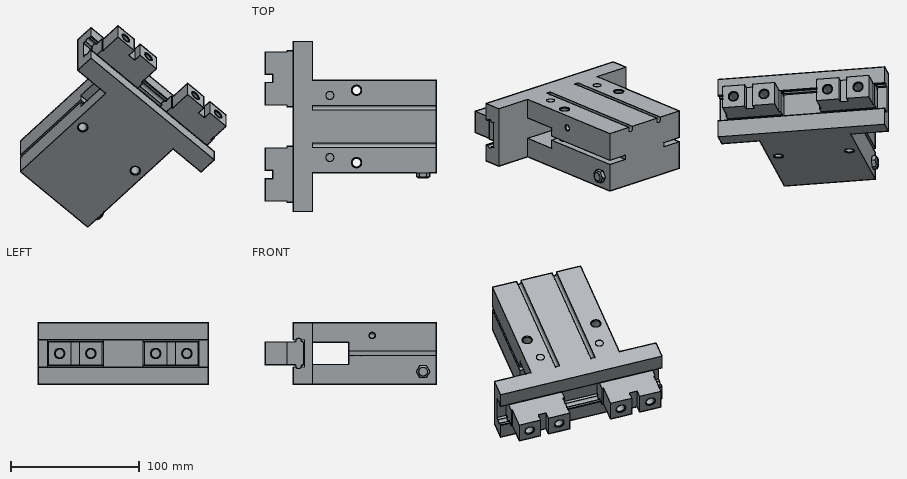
import cadquery as cq
import math


total_length = 133.0
height = 48.0

rail_front = 21.8
rail_thickness = 15.0
rail_back = rail_front + rail_thickness
rail_width = 132.0
channel_half_height = 10.4
channel_floor_x = 30.5
lip_chamfer = 0.4

bead_x = 26.1
bead_z = 9.7
bead_radius = 2.1

housing_width = 72.1
housing_length = total_length - rail_back
window_height = 17.0
window_length = 28.0
window_end = rail_back + window_length
side_slot_height = 3.5
side_slot_depth = 16.0
top_groove_width = 3.5
top_groove_depth = 4.0
top_groove_y = 14.5

mount_hole_x = 71.0
mount_hole_y = 28.0
thread_mouth_diameter = 8.0
thread_core_diameter = 6.8
dowel_x = 50.3
dowel_y = 24.1
dowel_diameter = 6.3
dowel_recess = 0.1

port_x = 83.1
port_z = 14.0
port_mouth_diameter = 5.0
port_core_diameter = 4.3
port_depth = 8.0
drill_tip_angle = 118.0
plug_x = 122.6
plug_z = -14.1
plug_across_flats = 9.2
plug_height = 4.0
plug_face_diameter = 6.8
plug_chamfer_height = 1.2

jaw_half_height = 8.9
jaw_back = 29.9
jaw_shoulder_x = 17.0
jaw_center_y = 37.2
jaw_width = 41.2
flange_inner_y = 15.3
flange_outer_y = 58.8
pad_front = 23.3
pad_back = 29.0
pad_half_height = 9.5
notch_depth = 6.0
notch_width = 6.3
jaw_hole_offset = 12.1
jaw_hole_depth = 16.0


def box(x_range, y_range, z_range):
    """Box between two limits on each axis."""
    sizes = [end - start for start, end in (x_range, y_range, z_range)]
    corner = (x_range[0], y_range[0], z_range[0])
    return cq.Workplane("XY").box(*sizes, centered=False).translate(corner)


def symmetric(size):
    """Limits of a span centred on zero."""
    return (-size / 2, size / 2)


def cone(point, direction, start_diameter, end_diameter, length):
    """Truncated cone that starts at a point."""
    solid = cq.Solid.makeCone(
        start_diameter / 2, end_diameter / 2, length, cq.Vector(*point), cq.Vector(*direction)
    )
    return cq.Workplane(obj=solid)


def cylinder(point, direction, diameter, length):
    """Cylinder that starts at a point."""
    solid = cq.Solid.makeCylinder(diameter / 2, length, cq.Vector(*point), cq.Vector(*direction))
    return cq.Workplane(obj=solid)


def countersink(point, direction, mouth_diameter, core_diameter):
    """45 degree cone from a hole mouth down to the hole core."""
    depth = (mouth_diameter - core_diameter) / 2
    return cone(point, direction, mouth_diameter, core_diameter, depth)


def bearing_beads(y_range):
    """Upper and lower bearing rods over a span of Y."""
    length = y_range[1] - y_range[0]
    beads = [
        cylinder((bead_x, y_range[0], side * bead_z), (0, 1, 0), 2 * bead_radius, length)
        for side in (-1, 1)
    ]
    return beads[0].union(beads[1])


def make_rail():
    rail_span = symmetric(rail_width)
    rail = box((rail_front, rail_back), rail_span, symmetric(height))
    channel = (
        cq.Workplane("XZ")
        .moveTo(rail_front, -channel_half_height - lip_chamfer)
        .lineTo(rail_front + lip_chamfer, -channel_half_height)
        .lineTo(channel_floor_x, -channel_half_height)
        .lineTo(channel_floor_x, channel_half_height)
        .lineTo(rail_front + lip_chamfer, channel_half_height)
        .lineTo(rail_front, channel_half_height + lip_chamfer)
        .close()
        .extrude(rail_width / 2, both=True)
    )
    return rail.cut(channel).cut(bearing_beads(rail_span))


def make_top_groove(y):
    """Round-bottomed groove along the top face."""
    radius = top_groove_width / 2
    center_z = height / 2 - top_groove_depth + radius
    slot = box(
        (rail_back, total_length), (y - radius, y + radius), (center_z, height / 2)
    )
    return slot.union(cylinder((rail_back, y, center_z), (1, 0, 0), top_groove_width, housing_length))


def make_mount_hole(y):
    """Through hole countersunk at both ends."""
    hole = cylinder((mount_hole_x, y, -height / 2), (0, 0, 1), thread_core_diameter, height)
    for side in (-1, 1):
        mouth = (mount_hole_x, y, side * height / 2)
        hole = hole.union(countersink(mouth, (0, 0, -side), thread_mouth_diameter, thread_core_diameter))
    return hole


def make_port():
    """Countersunk blind hole with a drilled tip."""
    face_y = -housing_width / 2
    inward = (0, 1, 0)
    tip_length = port_core_diameter / 2 / math.tan(math.radians(drill_tip_angle / 2))
    port = cylinder((port_x, face_y, port_z), inward, port_core_diameter, port_depth)
    mouth = countersink((port_x, face_y, port_z), inward, port_mouth_diameter, port_core_diameter)
    tip = cone((port_x, face_y + port_depth, port_z), inward, port_core_diameter, 0, tip_length)
    return port.union(mouth).union(tip)


def make_plug():
    """Hexagonal head with its outer corners turned to a cone."""
    face_y = -housing_width / 2
    outward = (0, -1, 0)
    corner_diameter = plug_across_flats / math.cos(math.pi / 6)
    shank_height = plug_height - plug_chamfer_height
    head = (
        cq.Workplane("XZ", origin=(plug_x, face_y, plug_z))
        .polygon(6, corner_diameter)
        .extrude(plug_height)
    )
    shank = cylinder((plug_x, face_y, plug_z), outward, corner_diameter, shank_height)
    nose = cone(
        (plug_x, face_y - shank_height, plug_z), outward,
        corner_diameter, plug_face_diameter, plug_chamfer_height,
    )
    return head.intersect(shank.union(nose))


def make_housing():
    housing = box((rail_back, total_length), symmetric(housing_width), symmetric(height))
    housing = housing.cut(box((rail_back, window_end), symmetric(housing_width), symmetric(window_height)))
    housing = housing.cut(make_port())
    for side in (-1, 1):
        slot_y = sorted((side * housing_width / 2, side * (housing_width / 2 - side_slot_depth)))
        housing = housing.cut(box((window_end, total_length), slot_y, symmetric(side_slot_height)))
        housing = housing.cut(make_top_groove(side * top_groove_y))
        housing = housing.cut(make_mount_hole(side * mount_hole_y))
        dowel_top = (dowel_x, side * dowel_y, height / 2)
        housing = housing.cut(cylinder(dowel_top, (0, 0, -1), dowel_diameter, dowel_recess))
    return housing.union(make_plug())


def make_body():
    """Gripper body: housing and cross rail in one piece."""
    return make_rail().union(make_housing())


def make_jaw(side):
    """Jaw on the +Y (side = 1) or -Y (side = -1) half of the rail."""
    center_y = side * jaw_center_y
    flange_y = sorted((side * flange_inner_y, side * flange_outer_y))
    finger_y = (center_y - jaw_width / 2, center_y + jaw_width / 2)
    notch_y = (center_y - notch_width / 2, center_y + notch_width / 2)
    jaw_z = symmetric(2 * jaw_half_height)

    jaw = box((0, jaw_shoulder_x), finger_y, jaw_z)
    jaw = jaw.union(box((jaw_shoulder_x, jaw_back), flange_y, jaw_z))
    jaw = jaw.union(box((pad_front, pad_back), flange_y, symmetric(2 * pad_half_height)))
    jaw = jaw.union(bearing_beads(flange_y))
    jaw = jaw.cut(box((0, notch_depth), notch_y, jaw_z))
    for offset in (-jaw_hole_offset, jaw_hole_offset):
        mouth = (0, center_y + offset, 0)
        jaw = jaw.cut(cylinder(mouth, (1, 0, 0), thread_core_diameter, jaw_hole_depth))
        jaw = jaw.cut(countersink(mouth, (1, 0, 0), thread_mouth_diameter, thread_core_diameter))
    return jaw.solids()


body = make_body().solids()
jaws = [make_jaw(side) for side in (-1, 1)]

result = cq.Compound.makeCompound([body.val(), *[jaw.val() for jaw in jaws]])